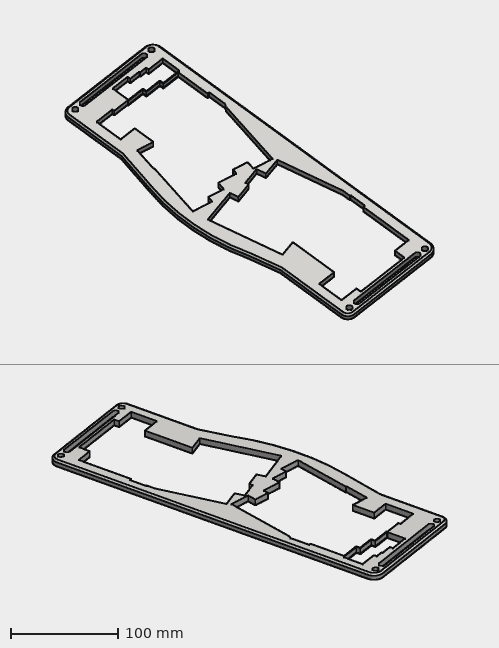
import cadquery as cq
import math

LENGTH = 369.19
WIDTH = 139.37
THICKNESS = 6.6
BACK_CORNER_RADIUS = 10.0
FRONT_CORNER_RADIUS = 8.7
RIM_CHAMFER = 2.0

LEFT = -LENGTH / 2
RIGHT = LENGTH / 2
BACK = WIDTH / 2
FRONT_TIP = -WIDTH / 2

FRONT_LEFT_Y = -52.6
FRONT_RIGHT_Y = -51.1
LEFT_BEND_X = -107.2
RIGHT_BEND_X = 97.2
BULGE_RADIUS = 230.0
BULGE_CENTRE_X = -6.0
BULGE_START_X = -59.7
BULGE_END_X = 64.4

HOLE_DIAMETER = 6.0
HOLE_X = 176.8
BACK_HOLE_Y = 60.0
HOLE_TO_SLOT = 7.1
LEFT_FRONT_HOLE_Y = -42.2
RIGHT_FRONT_HOLE_Y = -41.1

WINDOW_BACK_Y = 57.3
RELIEF_BACK_Y = 59.5
WINDOW_FRONT_Y = -39.5

CLUSTER_TILT = 12.0

LEFT_STEP_X = (-139.6, -144.0, -148.5, -149.4, -151.8)
LEFT_STEP_Y = (37.25, 19.1, -0.55, -18.35)
LEFT_RELIEF_X = (-101.7, -80.8)
LEFT_BLOCK_X = -120.7
LEFT_BLOCK_BACK_Y = -20.6
LEFT_BLOCK_U = -90.1
LEFT_INNER_U = (1.4, -5.25, -14.55, -20.45, -10.8)
LEFT_INNER_V = (-36.1, -18.5, 2.05, 18.5)
LEFT_INNER_FRONT_V = -57.75
LEFT_INNER_BACK_V = 40.0
LEFT_INNER_BACK_END_U = -88.5
LEFT_FRONT_JOG_U = -62.7
LEFT_FRONT_JOG = 0.75

RIGHT_INNER_U = (10.85, 0.6, 4.35, -5.0)
RIGHT_INNER_V = (22.3, 2.55, -15.8)
RIGHT_INNER_FRONT_V = -54.45
RIGHT_INNER_BACK_V = 42.3
RIGHT_SLOPE_END_Y = 58.6
RIGHT_RELIEF_X = (81.2, 99.7)
RIGHT_STEP_X = (165.1, 170.7, 158.5)
RIGHT_BLOCK_X = 136.2
RIGHT_BLOCK_BACK_Y = -19.5
RIGHT_BLOCK_U = 76.9
RIGHT_STEP_Y = (RIGHT_BLOCK_BACK_Y, 38.9)

DIVIDER = 0.8
DIVIDER_STEPS = 3
MACRO_STEP_X = (-161.8, -165.1, -166.2, -169.6)
MACRO_STEP_Y = (40.6, 32.8, 20.6)
MACRO_FRONT_Y = 0.55


def tilted(points, angle):
    """Turn points of a key cluster about the plate's centre."""
    c = math.cos(math.radians(angle))
    s = math.sin(math.radians(angle))
    return [(u * c - v * s, u * s + v * c) for u, v in points]


def tilted_side_x(u, y, angle):
    """X where the tilted line at constant u crosses the height y."""
    a = math.radians(angle)
    return (u - y * math.sin(a)) / math.cos(a)


def tilted_row_x(v, y, angle):
    """X where the tilted line at constant v crosses the height y."""
    a = math.radians(angle)
    return (y * math.cos(a) - v) / math.sin(a)


def staircase(start, across, between, end):
    """Corners of a stepped side: one place across per step, one level between steps."""
    levels = (start, *between, end)
    corners = []
    for i, place in enumerate(across):
        corners.append((place, levels[i]))
        corners.append((place, levels[i + 1]))
    return corners


def bulge_y(x):
    """Y of the bulging front arc at x."""
    return FRONT_TIP + BULGE_RADIUS - math.sqrt(BULGE_RADIUS**2 - (x - BULGE_CENTRE_X) ** 2)


def make_plate():
    plate = (
        cq.Workplane("XY")
        .moveTo(LEFT, BACK)
        .lineTo(LEFT, FRONT_LEFT_Y)
        .lineTo(LEFT_BEND_X, FRONT_LEFT_Y)
        .lineTo(BULGE_START_X, bulge_y(BULGE_START_X))
        .threePointArc((BULGE_CENTRE_X, FRONT_TIP), (BULGE_END_X, bulge_y(BULGE_END_X)))
        .lineTo(RIGHT_BEND_X, FRONT_RIGHT_Y)
        .lineTo(RIGHT, FRONT_RIGHT_Y)
        .lineTo(RIGHT, BACK)
        .close()
        .extrude(THICKNESS)
    )
    plate = plate.edges("|Z and >Y").fillet(BACK_CORNER_RADIUS)
    for end in ("<X", ">X"):
        front_corner = plate.edges("|Z").edges(end).edges("<Y")
        plate = front_corner.fillet(FRONT_CORNER_RADIUS)
    return plate.faces(">Z").edges().chamfer(RIM_CHAMFER)


def through_window(points):
    return cq.Workplane("XY").polyline(points).close().extrude(THICKNESS)


def end_openings(x, front_hole_y):
    """Two round holes with a slot between them at one end of the plate."""
    slot_length = BACK_HOLE_Y - front_hole_y - 2 * HOLE_TO_SLOT
    holes = (
        cq.Workplane("XY")
        .pushPoints([(x, BACK_HOLE_Y), (x, front_hole_y)])
        .circle(HOLE_DIAMETER / 2)
        .extrude(THICKNESS)
    )
    slot = (
        cq.Workplane("XY")
        .center(x, (BACK_HOLE_Y + front_hole_y) / 2)
        .slot2D(slot_length, HOLE_DIAMETER, 90)
        .extrude(THICKNESS)
    )
    return holes.union(slot)


def macro_window():
    outer = staircase(RELIEF_BACK_Y, MACRO_STEP_X, MACRO_STEP_Y, MACRO_FRONT_Y)
    wall_x = [x - DIVIDER for x in LEFT_STEP_X[:DIVIDER_STEPS]]
    wall_y = [y + DIVIDER for y in LEFT_STEP_Y[: DIVIDER_STEPS - 1]]
    wall = staircase(RELIEF_BACK_Y, wall_x, wall_y, MACRO_FRONT_Y)
    return through_window(outer + wall[::-1])


def left_window():
    tilt = -CLUSTER_TILT
    front_jog_v = LEFT_INNER_FRONT_V - LEFT_FRONT_JOG
    front = [
        (LEFT_BLOCK_U, front_jog_v),
        (LEFT_FRONT_JOG_U, front_jog_v),
        (LEFT_FRONT_JOG_U, LEFT_INNER_FRONT_V),
    ]
    inner = staircase(LEFT_INNER_FRONT_V, LEFT_INNER_U, LEFT_INNER_V, LEFT_INNER_BACK_V)
    back_end = [(LEFT_INNER_BACK_END_U, LEFT_INNER_BACK_V)]
    relief = [
        (LEFT_RELIEF_X[1], RELIEF_BACK_Y),
        (LEFT_RELIEF_X[0], RELIEF_BACK_Y),
        (LEFT_RELIEF_X[0], WINDOW_BACK_Y),
    ]
    outer = staircase(WINDOW_BACK_Y, LEFT_STEP_X, LEFT_STEP_Y, WINDOW_FRONT_Y)
    block = [
        (LEFT_BLOCK_X, WINDOW_FRONT_Y),
        (LEFT_BLOCK_X, LEFT_BLOCK_BACK_Y),
        (tilted_side_x(LEFT_BLOCK_U, LEFT_BLOCK_BACK_Y, tilt), LEFT_BLOCK_BACK_Y),
    ]
    return through_window(tilted(front + inner + back_end, tilt) + relief + outer + block)


def right_window():
    tilt = CLUSTER_TILT
    inner = staircase(RIGHT_INNER_BACK_V, RIGHT_INNER_U, RIGHT_INNER_V, RIGHT_INNER_FRONT_V)
    front_end = [(RIGHT_BLOCK_U, RIGHT_INNER_FRONT_V)]
    block = [
        (tilted_side_x(RIGHT_BLOCK_U, RIGHT_BLOCK_BACK_Y, tilt), RIGHT_BLOCK_BACK_Y),
        (RIGHT_BLOCK_X, RIGHT_BLOCK_BACK_Y),
        (RIGHT_BLOCK_X, WINDOW_FRONT_Y),
    ]
    outer = staircase(WINDOW_FRONT_Y, RIGHT_STEP_X, RIGHT_STEP_Y, WINDOW_BACK_Y)
    slope_end_x = tilted_row_x(RIGHT_INNER_BACK_V, RIGHT_SLOPE_END_Y, tilt)
    relief = [
        (RIGHT_RELIEF_X[1], WINDOW_BACK_Y),
        (RIGHT_RELIEF_X[1], RELIEF_BACK_Y),
        (RIGHT_RELIEF_X[0], RELIEF_BACK_Y),
        (RIGHT_RELIEF_X[0], RIGHT_SLOPE_END_Y),
        (slope_end_x, RIGHT_SLOPE_END_Y),
    ]
    return through_window(tilted(inner + front_end, tilt) + block + outer + relief)


result = (
    make_plate()
    .cut(end_openings(-HOLE_X, LEFT_FRONT_HOLE_Y))
    .cut(end_openings(HOLE_X, RIGHT_FRONT_HOLE_Y))
    .cut(macro_window())
    .cut(left_window())
    .cut(right_window())
)